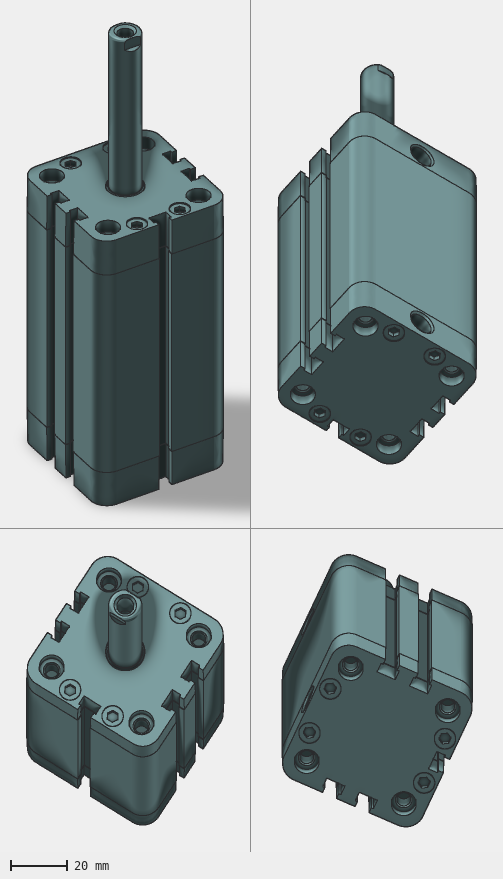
import cadquery as cq
import math

total_height = 182.0
housing_width = 54.8
corner_radius = 7.0
cap_height = 14.5
cap_draft = 0.8
housing_height = 114.8
half_width = housing_width / 2
barrel_height = housing_height - 2 * cap_height
front_cap_base = housing_height - cap_height

groove_mouth_width = 5.1
groove_width = 6.7
groove_lip = 2.2
groove_depth = 5.5
cap_groove_clearance = 0.2
groove_offset = 6.4
GROOVES = [
    ("-Y", -groove_offset),
    ("-Y", groove_offset),
    ("+Y", -groove_offset),
    ("+Y", groove_offset),
    ("+X", 0),
]
SIDE_ANGLES = {"+X": 0, "+Y": 90, "-Y": -90}

mounting_pitch = 38.0
mounting_counterbore_diameter = 9.0
mounting_counterbore_depth = 5.1
mounting_hole_diameter = 5.0
mounting_chamfer_diameter = 6.0

screw_pitch_x = 45.0
screw_pitch_y = 18.0
screw_recess_diameter = 7.6
screw_recess_depth = 0.5
socket_width = 3.8
socket_depth = 2.7

port_diameter = 9.0
port_chamfer_diameter = 10.5
port_to_end = 8.2
core_diameter = 40.0

rod_diameter = 12.0
wiper_recess_diameter = 14.0
wiper_base_diameter = 13.6
wiper_lip_diameter = 12.5
wiper_depth = 0.7
rod_end_fillet = 1.3
flat_width = 10.0
flat_length = 4.2
thread_hole_diameter = 6.0
thread_mouth_diameter = 8.0
thread_hole_depth = 20.0
thread_tip_angle = 118


def rectangle_corners(length_x, length_y):
    """Corner points of a rectangle centred on the axis."""
    return [(i * length_x / 2, j * length_y / 2) for i in (-1, 1) for j in (-1, 1)]


def cone(bottom_diameter, top_diameter, height):
    """Truncated cone standing on the origin, pointing up."""
    return cq.Workplane(cq.Solid.makeCone(bottom_diameter / 2, top_diameter / 2, height))


def groove(height, side, offset, clearance):
    """Cutter for one undercut groove, its inner faces moved outward by the clearance."""
    depth = groove_depth + clearance
    mouth_width = groove_mouth_width + 2 * clearance
    width = groove_width + 2 * clearance
    along_wall = (False, True, False)
    mouth = cq.Workplane().box(depth, mouth_width, height, centered=along_wall)
    undercut = cq.Workplane().box(depth - groove_lip, width, height, centered=along_wall)
    return (
        mouth.union(undercut)
        .translate((half_width - depth, offset, 0))
        .rotate((0, 0, 0), (0, 0, 1), SIDE_ANGLES[side])
    )


def housing_section(height, draft=0, clearance=0):
    """Rounded square block with the sensor grooves, narrowing upward by the draft angle."""
    section = (
        cq.Workplane()
        .sketch()
        .rect(housing_width, housing_width)
        .vertices()
        .fillet(corner_radius)
        .finalize()
        .extrude(height, taper=draft)
    )
    for side, offset in GROOVES:
        section = section.cut(groove(height, side, offset, clearance))
    return section


def mounting_hole():
    """Cutter for one mounting hole, opening upward at the cap's outer face."""
    chamfer_depth = (mounting_chamfer_diameter - mounting_hole_diameter) / 2
    floor = cap_height - mounting_counterbore_depth
    counterbore = cq.Workplane().workplane(offset=floor).circle(mounting_counterbore_diameter / 2)
    chamfer = cone(mounting_hole_diameter, mounting_chamfer_diameter, chamfer_depth)
    return (
        cq.Workplane()
        .circle(mounting_hole_diameter / 2)
        .extrude(floor)
        .union(counterbore.extrude(mounting_counterbore_depth))
        .union(chamfer.translate((0, 0, floor - chamfer_depth)))
    )


def screw_recess():
    """Cutter for the round recess and hexagon socket of one screw head."""
    recess = (
        cq.Workplane()
        .workplane(offset=cap_height - screw_recess_depth)
        .circle(screw_recess_diameter / 2)
        .extrude(screw_recess_depth)
    )
    socket = (
        cq.Workplane()
        .workplane(offset=cap_height - socket_depth)
        .polygon(6, socket_width, circumscribed=True)
        .extrude(socket_depth)
    )
    return recess.union(socket)


def port():
    """Cutter for the air port on the -X side, ending on the round core."""
    chamfer_depth = (port_chamfer_diameter - port_diameter) / 2
    chamfer = cone(port_chamfer_diameter, port_diameter, chamfer_depth)
    core = cq.Workplane().circle(core_diameter / 2).extrude(cap_height)
    return (
        cq.Workplane()
        .circle(port_diameter / 2)
        .extrude(half_width)
        .union(chamfer)
        .rotate((0, 0, 0), (0, 1, 0), 90)
        .translate((-half_width, 0, cap_height - port_to_end))
        .cut(core)
    )


def cap():
    """End cap with its outer face up, standing on the origin."""
    body = housing_section(cap_height, cap_draft, cap_groove_clearance).cut(port())
    for x, y in rectangle_corners(mounting_pitch, mounting_pitch):
        body = body.cut(mounting_hole().translate((x, y, 0)))
    for x, y in rectangle_corners(screw_pitch_x, screw_pitch_y):
        body = body.cut(screw_recess().translate((x, y, 0)))
    return body


def rod_passage():
    """Cutter for the rod bore and the ring recess that leaves a conical wiper lip around it."""
    lip = cone(wiper_base_diameter, wiper_lip_diameter, wiper_depth)
    recess = cq.Workplane().circle(wiper_recess_diameter / 2).extrude(wiper_depth).cut(lip)
    bore = cq.Workplane().circle(rod_diameter / 2).extrude(cap_height)
    return bore.union(recess.translate((0, 0, cap_height - wiper_depth)))


def piston_rod():
    """Rod standing on the barrel, with wrench flats and a threaded hole at its free end."""
    rod_radius = rod_diameter / 2
    length = total_height - front_cap_base
    rod = cq.Workplane().circle(rod_radius).extrude(length).faces(">Z").edges().fillet(rod_end_fillet)

    flat_cut = rod_radius - flat_width / 2
    flat = (
        cq.Workplane("XZ")
        .moveTo(rod_radius, length)
        .lineTo(rod_radius - flat_cut, length)
        .lineTo(rod_radius - flat_cut, length - flat_length)
        .lineTo(rod_radius, length - flat_length - flat_cut)
        .close()
        .extrude(rod_radius, both=True)
    )
    rod = rod.cut(flat).cut(flat.mirror("YZ"))

    mouth_depth = (thread_mouth_diameter - thread_hole_diameter) / 2
    tip_depth = thread_hole_diameter / 2 / math.tan(math.radians(thread_tip_angle / 2))
    hole = cq.Workplane().circle(thread_hole_diameter / 2).extrude(thread_hole_depth)
    tip = cone(0, thread_hole_diameter, tip_depth).translate((0, 0, -tip_depth))
    mouth = cone(thread_hole_diameter, thread_mouth_diameter, mouth_depth)
    hole = hole.union(tip).union(mouth.translate((0, 0, thread_hole_depth - mouth_depth)))
    rod = rod.cut(hole.translate((0, 0, length - thread_hole_depth)))
    return rod.translate((0, 0, front_cap_base))


rear_cap = cap().mirror("XY").translate((0, 0, cap_height))
barrel = housing_section(barrel_height).translate((0, 0, cap_height))
front_cap = cap().cut(rod_passage()).translate((0, 0, front_cap_base))
rod = piston_rod()

result = cq.Compound.makeCompound([rear_cap.val(), barrel.val(), front_cap.val(), rod.val()])